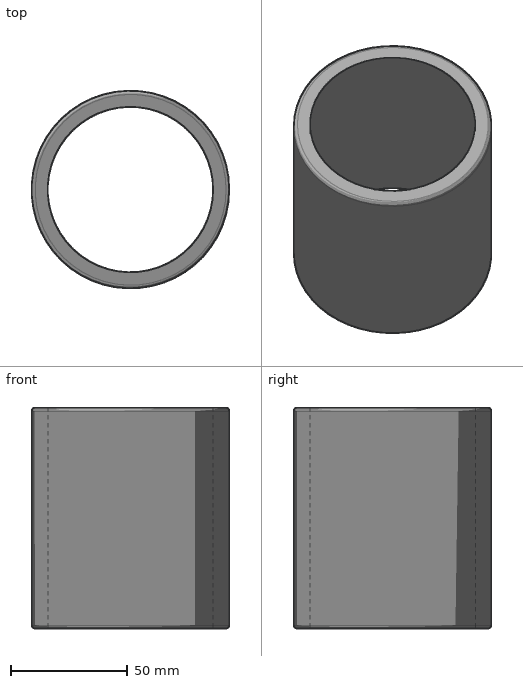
import cadquery as cq

length = 95.0
outer_diameter = 85.0
bore_diameter = 71.0
edge_radius = 1.5

body = cq.Workplane("XY").circle(outer_diameter / 2).extrude(length)
body = body.faces("<Z or >Z").edges().fillet(edge_radius)

bore = cq.Workplane("XY").circle(bore_diameter / 2).extrude(length)

result = body.cut(bore)